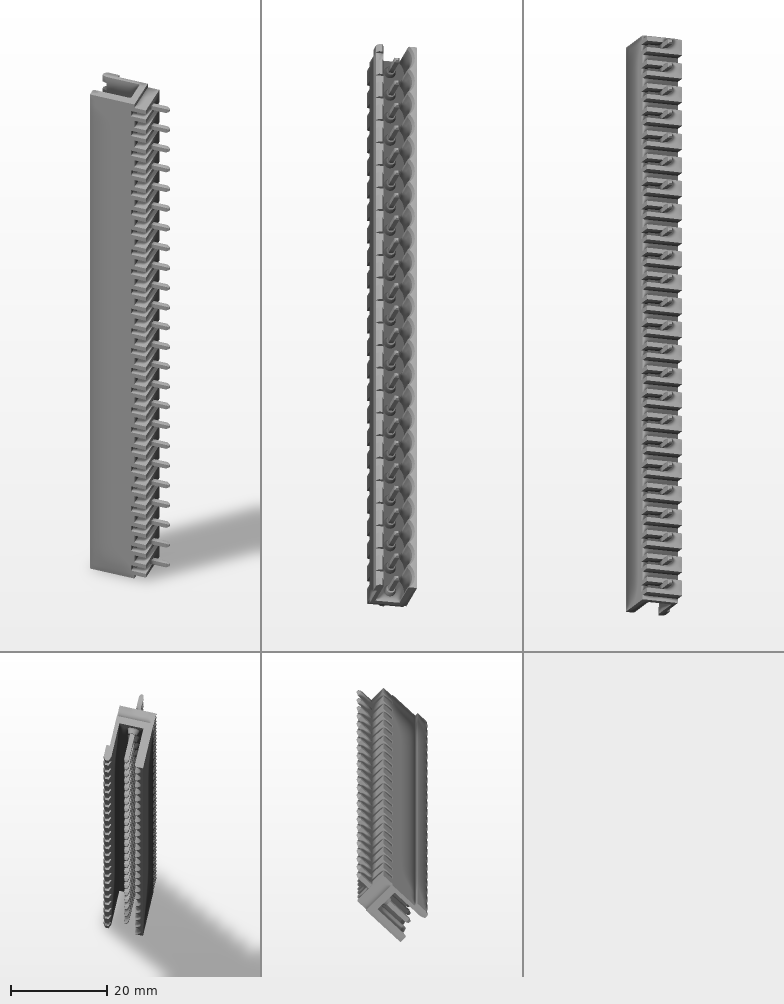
import cadquery as cq

pole_count = 24
length = 121.9
pitch = length / pole_count

floor_front = 8.4
floor_back = 9.9
housing_width = 7.8
plain_wall = 1.8
latch_wall = 0.9
latch_wall_inner = housing_width - latch_wall

lead_in_depth = 1.0
lead_in_width = 0.4

lip_top = 8.5
lip_end = 3.3
lip_chamfer_depth = 0.7
lip_chamfer_width = 0.5
notch_width = 1.8
notch_depth = lead_in_depth

pin_y = 3.9
scoop_radius = 3.0

foot_back = 12.4
foot_width = 3.3
slot_front = 9.1
slot_width = 1.3
slot_ledge_depth = 1.2

pin_front = 1.1
pin_back = 16.2
pin_size = 1.0
pin_tip_size = 0.5
pin_tip_length = 0.6
collar_front = 7.3
collar_radius_front = 0.91
collar_radius_floor = 1.28

pole_heights = [(i + 0.5) * pitch for i in range(pole_count)]


def block(x0, x1, y0, y1, z0, z1):
    """Axis-aligned block between two opposite corners."""
    return cq.Workplane("XY").box(x1 - x0, y1 - y0, z1 - z0, centered=False).translate((x0, y0, z0))


def band(x0, x1, y0, y1, z, width):
    """Block centred on height z."""
    return block(x0, x1, y0, y1, z - width / 2, z + width / 2)


def cone(x0, x1, radius0, radius1, z):
    """Cone along X on the axis of the pin at height z."""
    return cq.Workplane(
        cq.Solid.makeCone(radius0, radius1, x1 - x0, cq.Vector(x0, pin_y, z), cq.Vector(1, 0, 0))
    )


def housing():
    """U-shaped section with the latch lip, extruded over the full length."""
    outline = [
        (0, 0),
        (floor_back, 0),
        (floor_back, housing_width),
        (lip_end, housing_width),
        (lip_end, lip_top),
        (lip_chamfer_depth, lip_top),
        (0, lip_top - lip_chamfer_width),
        (0, latch_wall_inner + lead_in_width),
        (lead_in_depth, latch_wall_inner),
        (floor_front, latch_wall_inner),
        (floor_front, plain_wall),
        (0, plain_wall),
    ]
    return cq.Workplane("XY").polyline(outline).close().extrude(length)


def scoop(z):
    """Round recess in the plain wall, flared by the lead-in slope at the mouth."""
    bore = cq.Workplane("YZ", origin=(0, pin_y, z)).circle(scoop_radius).extrude(floor_front)
    recess = bore.union(cone(0, lead_in_depth, scoop_radius + lead_in_width, scoop_radius, z))
    return recess.intersect(band(0, floor_front, 0, pin_y, z, 2 * pitch))


def notch(z):
    """Opening in the front edge of the latch lip."""
    return band(0, notch_depth, latch_wall_inner, lip_top, z, notch_width)


def foot(z):
    """Standoff foot on the back of the housing."""
    return band(floor_back, foot_back, 0, housing_width, z, foot_width)


def slot(z):
    """Shallow ledge cut into the housing that deepens to the pin axis behind it."""
    ledge = band(slot_front, floor_back, 0, slot_ledge_depth, z, slot_width)
    return ledge.union(band(floor_back, foot_back, 0, pin_y, z, slot_width))


def pin_tip(x, direction, z):
    """Tapered pin end starting at x and pointing along +X or -X."""
    plane = cq.Plane(origin=(x, pin_y, z), xDir=(0, 1, 0), normal=(direction, 0, 0))
    base = cq.Workplane(plane).rect(pin_size, pin_size)
    return base.workplane(offset=pin_tip_length).rect(pin_tip_size, pin_tip_size).loft()


def pin(z):
    """Square pin through the housing with a conical collar on the floor."""
    shank_front = pin_front + pin_tip_length
    shank_back = pin_back - pin_tip_length
    half = pin_size / 2
    shank = band(shank_front, shank_back, pin_y - half, pin_y + half, z, pin_size)
    collar = cone(collar_front, floor_front, collar_radius_front, collar_radius_floor, z)
    return shank.union(pin_tip(shank_front, -1, z)).union(pin_tip(shank_back, 1, z)).union(collar)


def at_every_pole(feature):
    """One compound holding a copy of the feature at each pole."""
    return cq.Workplane(cq.Compound.makeCompound([feature(z).val() for z in pole_heights]))


body = housing().union(at_every_pole(foot))
for height in pole_heights:
    body = body.cut(scoop(height))

result = (
    body.cut(at_every_pole(notch))
    .cut(at_every_pole(slot))
    .union(at_every_pole(pin))
)